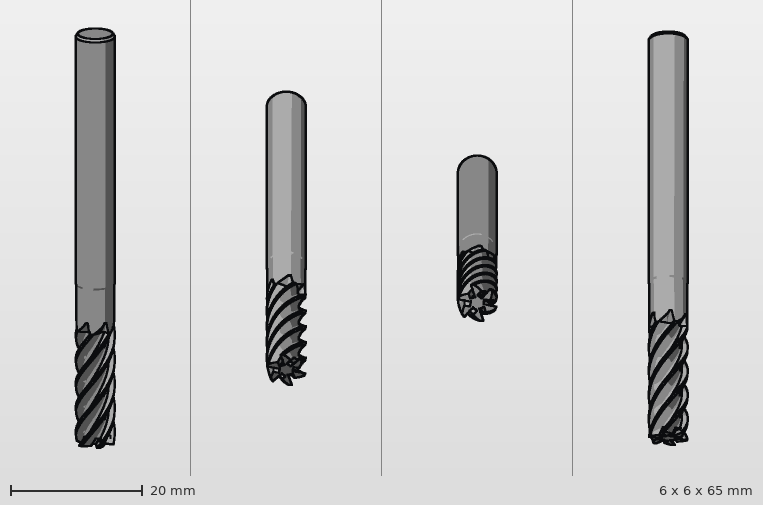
import cadquery as cq
import math

total_length = 65.0
cutting_length = 18.0
neck_end = 25.0
shoulder_end = 25.35

shank_radius = 6.0 / 2
neck_radius = 5.8 / 2

chamfer_width = 0.3
chamfer_length = 0.45

tooth_count = 6
lead = 23.2
tooth_pitch = 360 / tooth_count
cutting_twist = 360 * cutting_length / lead

land_radius = 2.9
land_angle = 9.5
back_middle_radius = 2.4
root_start_radius = 2.0
root_start_angle = 36.0
root_middle_radius = 1.9
root_end_radius = 2.1
root_end_angle = 57.5

cutter_radius = 3.25

runout_length = 1.7
runout_lift = 0.85
runout_squeeze = 0.3
runout_angle = 49.0

gash_width = 0.8
gash_roof_width = 0.8
gash_height = 1.2
gash_lean = 0.65
gash_start_radius = 1.0


def polar(radius, angle):
    """Point in the XY plane at a radius and an angle in degrees."""
    return (radius * math.cos(math.radians(angle)), radius * math.sin(math.radians(angle)))


def add_flute_floor(outline, start_angle, squeeze=1, lift=0):
    """Continue an outline from a land over the tooth back and the flute root to the foot of the rake."""
    back_middle_angle = (land_angle + root_start_angle) / 2
    root_middle_angle = (root_start_angle + root_end_angle) / 2
    return (
        outline
        .threePointArc(
            polar(back_middle_radius + lift, start_angle + back_middle_angle * squeeze),
            polar(root_start_radius + lift, start_angle + root_start_angle * squeeze),
        )
        .threePointArc(
            polar(root_middle_radius + lift, start_angle + root_middle_angle * squeeze),
            polar(root_end_radius + lift, start_angle + root_end_angle * squeeze),
        )
    )


def make_cutting_section():
    """Closed outline of all the teeth in the end plane."""
    outline = cq.Workplane("XY").moveTo(*polar(land_radius, land_angle))
    for tooth in range(tooth_count):
        start_angle = tooth * tooth_pitch
        next_edge_angle = start_angle + tooth_pitch
        outline = add_flute_floor(outline, start_angle)
        outline = outline.lineTo(*polar(shank_radius, next_edge_angle))
        if tooth < tooth_count - 1:
            outline = outline.lineTo(*polar(land_radius, next_edge_angle + land_angle))
    return outline.close()


def make_gash():
    """Notch in front of the cutting edge on the +X axis; its rake wall leans along the helix."""
    return (
        cq.Workplane("YZ", origin=(gash_start_radius, 0, 0))
        .polyline(
            [
                (0, 0),
                (gash_lean, gash_height),
                (gash_lean - gash_roof_width, gash_height),
                (-gash_width, 0),
            ]
        )
        .close()
        .extrude(cutter_radius - gash_start_radius)
    )


def make_cutting_part():
    """Fluted cutting part with gashed end teeth."""
    cutting_part = make_cutting_section().twistExtrude(cutting_length, cutting_twist)
    for tooth in range(tooth_count):
        cutting_part = cutting_part.cut(make_gash().rotate((0, 0, 0), (0, 0, 1), tooth * tooth_pitch))
    return cutting_part


def runout_section(height, squeeze, lift):
    """Wire around one flute opening, squeezed in angle about the runout tip and lifted outwards."""
    start_angle = cutting_twist + runout_angle * (1 - squeeze)
    land_end_angle = start_angle + land_angle * squeeze
    rake_angle = start_angle + tooth_pitch * squeeze
    outline = cq.Workplane("XY", origin=(0, 0, height)).moveTo(*polar(land_radius + lift, land_end_angle))
    return (
        add_flute_floor(outline, start_angle, squeeze, lift)
        .lineTo(*polar(cutter_radius + lift, rake_angle))
        .lineTo(*polar(cutter_radius + lift, land_end_angle))
        .close()
        .val()
    )


def make_runout():
    """Tapering pocket in which one flute ends in the neck."""
    flute_end = runout_section(cutting_length, 1, 0)
    runout_tip = runout_section(cutting_length + runout_length, runout_squeeze, runout_lift)
    return cq.Workplane(cq.Solid.makeLoft([flute_end, runout_tip], True))


def make_shank():
    """Turned shank and neck with the flute runouts."""
    shank = (
        cq.Workplane("YZ")
        .polyline(
            [
                (0, cutting_length),
                (-neck_radius, cutting_length),
                (-neck_radius, neck_end),
                (-shank_radius, shoulder_end),
                (-shank_radius, total_length - chamfer_length),
                (-shank_radius + chamfer_width, total_length),
                (0, total_length),
            ]
        )
        .close()
        .revolve(360, (0, 0, 0), (0, 1, 0))
    )
    for flute in range(tooth_count):
        shank = shank.cut(make_runout().rotate((0, 0, 0), (0, 0, 1), flute * tooth_pitch))
    return shank


cutting_part = make_cutting_part()
shank = make_shank()
result = cq.Compound.makeCompound([cutting_part.val(), shank.val()])